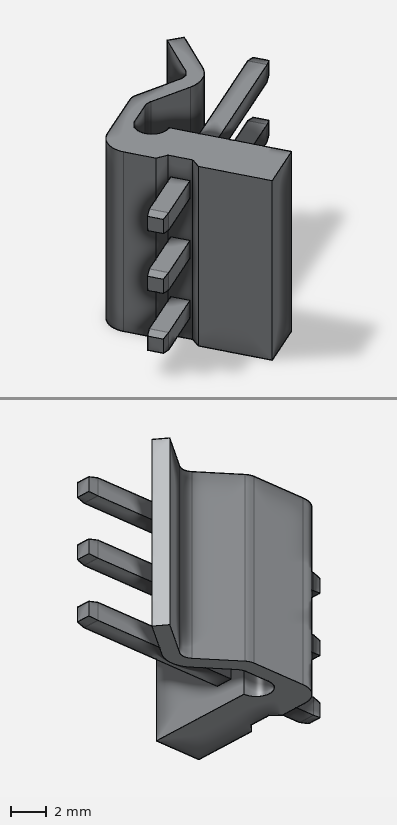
import cadquery as cq
import math


height = 11.88
base_depth = 3.2
base_right = 5.62
wall = 1.01
slot_radius = wall
slot_right = -1.64
latch_left = slot_right - 2 * slot_radius - wall
heel_radius = 1.5

lean_angle = math.radians(36)
flare_angle = math.radians(38)
knee_y = 5.48
apex_y = 8.6
tip_y = 11.64
knee_radius = 0.9
apex_inner_radius = 0.77
apex_outer_radius = apex_inner_radius + wall

recess_depth = 0.52
recess_floor_half = 0.73
recess_mouth_half = recess_floor_half + recess_depth

pin_count = 3
pin_pitch = height / pin_count
pin_width = 1.15
pin_length = 17.4
pin_front = -3.58
taper_length = 0.6
pin_tip_width = 0.94


def make_housing():
    apex_x = latch_left + (apex_y - knee_y) * math.tan(lean_angle)
    tip_x = apex_x - (tip_y - apex_y) * math.tan(flare_angle)
    knee_outer = (latch_left, knee_y)
    apex_inner = (apex_x, apex_y)
    tip_outer = (tip_x, tip_y)

    knee_inner = (latch_left + wall, knee_y - wall * math.tan(lean_angle / 2))
    apex_offset = wall / math.cos((lean_angle + flare_angle) / 2)
    apex_tilt = (flare_angle - lean_angle) / 2
    apex_outer = (
        apex_x + apex_offset * math.cos(apex_tilt),
        apex_y + apex_offset * math.sin(apex_tilt),
    )
    tip_inner = (
        tip_x + wall * math.cos(flare_angle),
        tip_y + wall * math.sin(flare_angle),
    )
    heel = (latch_left, 0)

    housing = (
        cq.Workplane("XY")
        .workplane(offset=-height / 2)
        .moveTo(*heel)
        .lineTo(*knee_outer)
        .lineTo(*apex_inner)
        .lineTo(*tip_outer)
        .lineTo(*tip_inner)
        .lineTo(*apex_outer)
        .lineTo(*knee_inner)
        .lineTo(latch_left + wall, base_depth)
        .threePointArc(
            (slot_right - slot_radius, base_depth - slot_radius),
            (slot_right, base_depth),
        )
        .lineTo(base_right, base_depth)
        .lineTo(base_right, 0)
        .lineTo(recess_mouth_half, 0)
        .lineTo(recess_floor_half, recess_depth)
        .lineTo(-recess_floor_half, recess_depth)
        .lineTo(-recess_mouth_half, 0)
        .close()
        .extrude(height)
    )

    bends = [
        (heel, heel_radius),
        (knee_outer, knee_radius),
        (knee_inner, knee_radius),
        (apex_inner, apex_inner_radius),
        (apex_outer, apex_outer_radius),
    ]
    for (x, y), radius in bends:
        corner = cq.selectors.NearestToPointSelector((x, y, 0))
        housing = housing.edges("|Z").edges(corner).fillet(radius)
    return housing


def make_pin():
    shaft_length = pin_length - 2 * taper_length
    shaft = (
        cq.Workplane("XY")
        .workplane(offset=taper_length)
        .rect(pin_width, pin_width)
        .extrude(shaft_length)
    )
    front_tip = (
        cq.Workplane("XY")
        .rect(pin_tip_width, pin_tip_width)
        .workplane(offset=taper_length)
        .rect(pin_width, pin_width)
        .loft(ruled=True)
    )
    back_tip = front_tip.mirror("XY").translate((0, 0, pin_length))
    pin = shaft.union(front_tip).union(back_tip)
    return pin.rotate((0, 0, 0), (1, 0, 0), -90).translate((0, pin_front, 0))


result = make_housing()
for index in range(pin_count):
    pin_z = (index - (pin_count - 1) / 2) * pin_pitch
    result = result.union(make_pin().translate((0, 0, pin_z)))